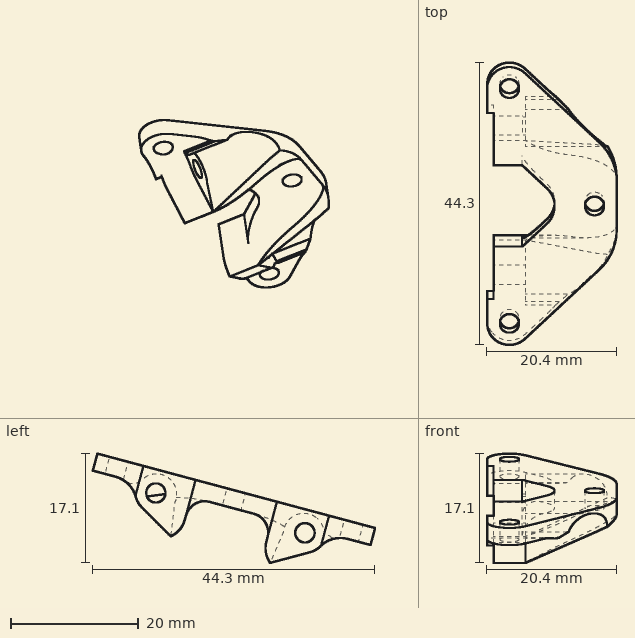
import cadquery as cq
import math

tilt = 15.0
plate_thick = 2.8
hole_dia = 3.0

end_radius = 3.5
ear_y = 19.05
plate_length = 20.35
corner_radius = 9.0
corner_y = 3.85
corner_x = plate_length - corner_radius
apex_hole_x = plate_length - end_radius

mouth_y = 6.6
throat_radius = 4.0
throat_x = 6.6
recess_depth = 1.0
lug_outer_y = 15.05

tip_y, tip_depth = 8.05, 9.55
tip_radius = 4.0
tip_start_depth = 6.5
inner_fillet = 3.0
outer_fillet = 4.45
outer_fillet_y = 18.82
flank_angle = 30.0
flank_end_y = 13.65

lug_hole_y, lug_hole_depth = 12.1, 3.6
lug_end_x = 6.02
pocket_radius = 3.2
pocket_y, pocket_depth = 11.95, 3.75
pocket_wall_angle = 10.0
pocket_shoulder_angle = 20.0
pocket_floor_y, pocket_floor_depth = 16.4, 3.25
web_thick = 0.5
web_edge_angle = 22.7
web_edge_offset = 0.4

beyond = 35.45

center_dx = corner_x - end_radius
center_dy = ear_y - corner_y
normal_angle = (
    math.atan2(center_dx, center_dy)
    + math.asin((corner_radius - end_radius) / math.hypot(center_dx, center_dy))
)


def on_circle(x, y, radius, angle):
    """Point on a circle, with the angle in radians."""
    return (x + radius * math.cos(angle), y + radius * math.sin(angle))


def mirrored(point):
    return (point[0], -point[1])


def plan_prism(depth):
    """Plate outline extruded down from the top face."""
    ear_end = on_circle(end_radius, ear_y, end_radius, normal_angle)
    ear_mid = on_circle(end_radius, ear_y, end_radius, (normal_angle + math.pi) / 2)
    corner_start = on_circle(corner_x, corner_y, corner_radius, normal_angle)
    corner_mid = on_circle(corner_x, corner_y, corner_radius, normal_angle / 2)
    throat = on_circle(throat_x, 0, throat_radius, normal_angle)
    mouth_x = throat[0] - (mouth_y - throat[1]) * math.tan(normal_angle)
    return (
        cq.Workplane("XY")
        .moveTo(recess_depth, lug_outer_y)
        .lineTo(0, lug_outer_y)
        .lineTo(0, ear_y)
        .threePointArc(ear_mid, ear_end)
        .lineTo(*corner_start)
        .threePointArc(corner_mid, (plate_length, corner_y))
        .lineTo(plate_length, -corner_y)
        .threePointArc(mirrored(corner_mid), mirrored(corner_start))
        .lineTo(*mirrored(ear_end))
        .threePointArc(mirrored(ear_mid), (0, -ear_y))
        .lineTo(0, -lug_outer_y)
        .lineTo(recess_depth, -lug_outer_y)
        .lineTo(recess_depth, -mouth_y)
        .lineTo(mouth_x, -mouth_y)
        .lineTo(*mirrored(throat))
        .threePointArc((throat_x + throat_radius, 0), throat)
        .lineTo(mouth_x, mouth_y)
        .lineTo(recess_depth, mouth_y)
        .close()
        .extrude(-depth)
    )


def lug_prism():
    """Lug cross-section with its blends into the plate, extruded along X."""
    outer_center_z = -plate_thick - outer_fillet
    outer_dy = outer_fillet_y - lug_outer_y
    blend_end = (lug_outer_y, outer_center_z + math.sqrt(outer_fillet**2 - outer_dy**2))
    blend_mid = on_circle(
        outer_fillet_y, outer_center_z, outer_fillet,
        (math.pi / 2 + math.atan2(blend_end[1] - outer_center_z, -outer_dy)) / 2,
    )
    flank_rise = (flank_end_y - tip_y) * math.tan(math.radians(flank_angle))
    inner_y = mouth_y - inner_fillet
    inner_center_z = -plate_thick - inner_fillet
    inner_mid = on_circle(inner_y, inner_center_z, inner_fillet, math.pi / 4)
    return (
        cq.Workplane("YZ")
        .moveTo(inner_y, 0)
        .lineTo(inner_y, -plate_thick)
        .threePointArc(inner_mid, (mouth_y, inner_center_z))
        .lineTo(mouth_y, -tip_start_depth)
        .radiusArc((tip_y, -tip_depth), -tip_radius)
        .lineTo(flank_end_y, flank_rise - tip_depth)
        .tangentArcPoint(blend_end, relative=False)
        .threePointArc(blend_mid, (outer_fillet_y, -plate_thick))
        .lineTo(outer_fillet_y, 0)
        .close()
        .extrude(beyond)
    )


def pocket():
    """Screw clearance behind a lug: a bore open downward and outward."""
    back = cq.Workplane("YZ", origin=(lug_end_x, 0, 0))
    bore = back.center(pocket_y, -pocket_depth).circle(pocket_radius).extrude(beyond)
    wall_top = on_circle(
        pocket_y, -pocket_depth, pocket_radius, math.pi + math.radians(pocket_wall_angle)
    )
    shoulder = on_circle(
        pocket_y, -pocket_depth, pocket_radius, math.radians(pocket_shoulder_angle)
    )
    opening = (
        back.moveTo(*wall_top)
        .lineTo(tip_y, -tip_depth)
        .lineTo(tip_y, -beyond)
        .lineTo(beyond, -beyond)
        .lineTo(beyond, -pocket_floor_depth)
        .lineTo(pocket_floor_y, -pocket_floor_depth)
        .lineTo(*shoulder)
        .close()
        .extrude(beyond)
    )
    return bore.union(opening)


def underside_slope():
    """Waste below the ramp from the lug tips to the far edge of the plate."""
    return (
        cq.Workplane("XZ", origin=(0, beyond, 0))
        .moveTo(lug_end_x, -tip_depth)
        .lineTo(plate_length, -plate_thick)
        .lineTo(plate_length, -beyond)
        .lineTo(lug_end_x, -beyond)
        .close()
        .extrude(2 * beyond)
    )


def passage(start_x, length):
    """Cylinder on the +Y screw axis."""
    return (
        cq.Workplane("YZ", origin=(start_x, lug_hole_y, -lug_hole_depth))
        .circle(hole_dia / 2)
        .extrude(length)
    )


def passage_web():
    """Thin web over the upper part of the +Y passage, with an inclined lower edge."""
    upper_half = (
        cq.Workplane("YZ")
        .rect(2 * hole_dia, hole_dia)
        .extrude(beyond)
        .translate((0, 0, hole_dia / 2 - web_edge_offset))
        .rotate((0, 0, 0), (1, 0, 0), -web_edge_angle)
        .translate((0, lug_hole_y, -lug_hole_depth))
    )
    return passage(lug_end_x - web_thick, web_thick).intersect(upper_half)


lug = lug_prism().intersect(plan_prism(beyond)).cut(underside_slope())
body = plan_prism(plate_thick).union(lug).union(lug.mirror("XZ"))
for cutter in (pocket(), passage(0, beyond)):
    body = body.cut(cutter).cut(cutter.mirror("XZ"))
body = body.union(passage_web())

plate_holes = (
    cq.Workplane("XY")
    .pushPoints([(end_radius, ear_y), (end_radius, -ear_y), (apex_hole_x, 0)])
    .circle(hole_dia / 2)
    .extrude(-beyond)
)
result = body.cut(plate_holes).rotate((0, 0, 0), (1, 0, 0), tilt)